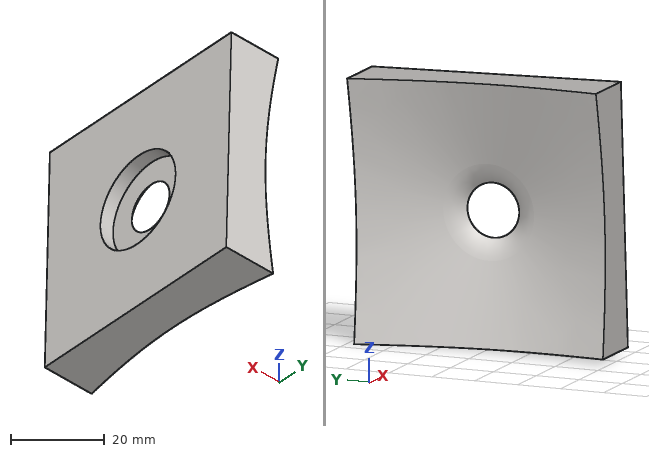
import cadquery as cq
import math

side = 58.0
turn_deg = -1.613
overall_depth = 13.51

dish_slope_deg = 13.6
corner_radius = side / math.sqrt(2)
dish_slope = math.radians(dish_slope_deg)

hole_radius = 6.0
lip_outer_radius = 10.6
lip_arc_radius = 10.0

recess_diameter = 24.0

overrun = 1.0


def dish_x(radius):
    """X position of the dish surface at a distance from the axis."""
    return -overall_depth + (corner_radius - radius) * math.tan(dish_slope)


lip_center_x = dish_x(lip_outer_radius) + lip_arc_radius * math.cos(dish_slope)
lip_center_radius = lip_outer_radius + lip_arc_radius * math.sin(dish_slope)
rim_angle = math.asin((lip_center_radius - hole_radius) / lip_arc_radius)


def lip_point(angle):
    """Point (X, distance from axis) of the lip arc where its surface has the given angle."""
    return (
        lip_center_x - lip_arc_radius * math.cos(angle),
        lip_center_radius - lip_arc_radius * math.sin(angle),
    )


def make_plate():
    """Square block with its flat back at X = 0 and its front at X = -overall_depth."""
    plate = cq.Workplane("YZ").rect(side, side).extrude(-overall_depth)
    return plate.rotate((0, 0, 0), (1, 0, 0), turn_deg)


def make_dish_cutter():
    """Void revolved about the X axis: dish, rounded lip and hole."""
    outer_radius = corner_radius + overrun
    mouth_x = dish_x(outer_radius)
    rim_x, rim_radius = lip_point(rim_angle)
    profile = (
        cq.Workplane("XY")
        .moveTo(mouth_x, 0)
        .lineTo(mouth_x, outer_radius)
        .lineTo(*lip_point(dish_slope))
        .threePointArc(lip_point((dish_slope + rim_angle) / 2), (rim_x, rim_radius))
        .lineTo(rim_x, 0)
        .close()
    )
    return profile.revolve(360, (0, 0, 0), (1, 0, 0))


def make_recess_cutter():
    """Cylinder from the rim of the hole out through the back face."""
    rim_x = lip_point(rim_angle)[0]
    return (
        cq.Workplane("YZ", origin=(rim_x, 0, 0))
        .circle(recess_diameter / 2)
        .extrude(overrun - rim_x)
    )


result = make_plate().cut(make_dish_cutter()).cut(make_recess_cutter())